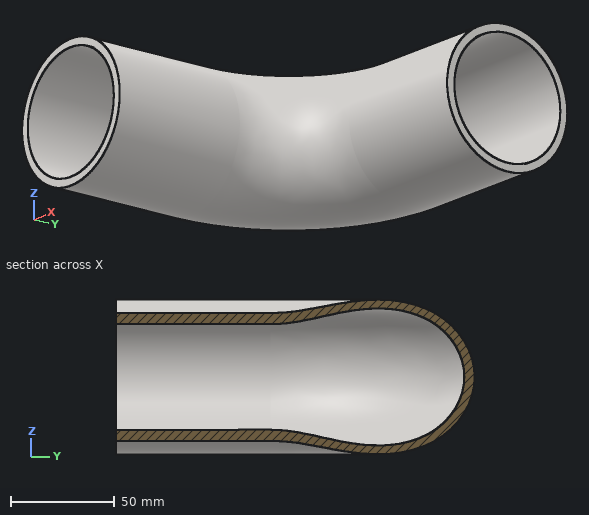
import cadquery as cq

outer_diameter = 75.0
wall_thickness = 4.5
bend_radius = 75.0
leg_length = 75.0

outer_radius = outer_diameter / 2
inner_radius = outer_radius - wall_thickness
bend_angle = 90


def ring(workplane):
    """Draw the pipe cross-section on a workplane."""
    return workplane.circle(outer_radius).circle(inner_radius)


bend_start = (-bend_radius, 0, 0)
bend_end = (0, bend_radius, 0)

first_leg = ring(cq.Workplane("XZ", origin=bend_start)).extrude(leg_length)

second_leg = ring(cq.Workplane("YZ", origin=bend_end)).extrude(leg_length)

bend = ring(cq.Workplane("YZ").center(bend_radius, 0)).revolve(
    bend_angle, (-bend_radius, 0), (-bend_radius, 1)
)

result = first_leg.union(bend).union(second_leg)